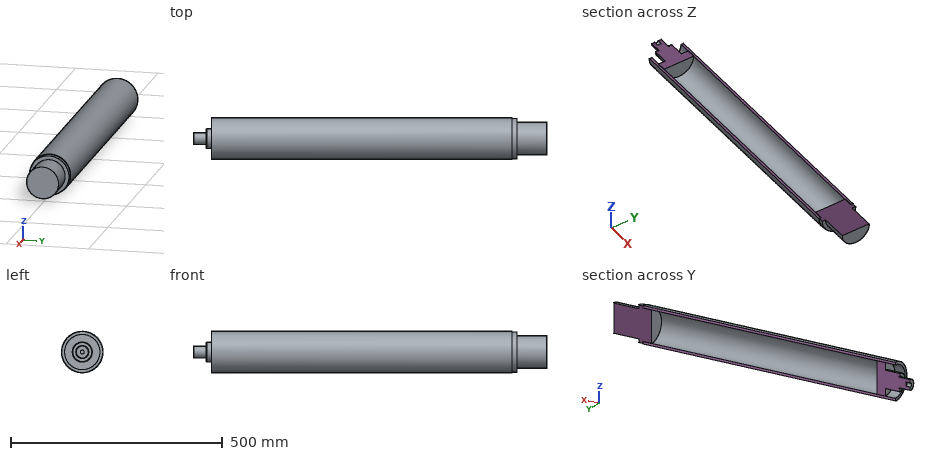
import cadquery as cq

LENGTH = 834.0
TIP_X = -LENGTH / 2
COLLAR_X = TIP_X + 29.0
TUBE_START_X = TIP_X + 42.0
STUB_END_X = LENGTH / 2
STUB_LENGTH = 70.0
FLANGE_THICKNESS = 12.5
FLANGE_END_X = STUB_END_X - STUB_LENGTH
TUBE_END_X = FLANGE_END_X - FLANGE_THICKNESS

TUBE_DIAMETER = 98.0
BORE_DIAMETER = 83.0

RECESS_DEPTH = 28.0
PLUG_LENGTH = 25.0
COLLAR_DIAMETER = 47.5
COLLAR_RIM_DIAMETER = 45.0
COLLAR_CHAMFER_LENGTH = 2.0
SHAFT_DIAMETER = 28.0
RELIEF_DIAMETER = 31.0
RELIEF_DEPTH = 2.5
CENTRE_HOLE_DIAMETER = 9.0
CENTRE_HOLE_DEPTH = 12.5

SPIGOT_LENGTH = 25.0
FLANGE_DIAMETER = 96.0
STUB_DIAMETER = 77.5


def cylinder(start_x, end_x, diameter):
    """Solid cylinder on the X axis between two stations."""
    return cq.Workplane("YZ", origin=(start_x, 0, 0)).circle(diameter / 2).extrude(end_x - start_x)


def make_tube():
    bore = cylinder(TUBE_START_X, TUBE_END_X, BORE_DIAMETER)
    return cylinder(TUBE_START_X, TUBE_END_X, TUBE_DIAMETER).cut(bore)


def make_journal():
    plug_start_x = TUBE_START_X + RECESS_DEPTH
    plug = cylinder(plug_start_x, plug_start_x + PLUG_LENGTH, BORE_DIAMETER)
    collar = cylinder(COLLAR_X, plug_start_x, COLLAR_DIAMETER)
    rim_inset = (COLLAR_DIAMETER - COLLAR_RIM_DIAMETER) / 2
    collar = collar.faces("<X").chamfer(COLLAR_CHAMFER_LENGTH, rim_inset)
    shaft_root_x = COLLAR_X + RELIEF_DEPTH
    collar = collar.cut(cylinder(COLLAR_X, shaft_root_x, RELIEF_DIAMETER))
    shaft = cylinder(TIP_X, shaft_root_x, SHAFT_DIAMETER)
    centre_hole = cylinder(TIP_X, TIP_X + CENTRE_HOLE_DEPTH, CENTRE_HOLE_DIAMETER)
    return plug.union(collar).union(shaft).cut(centre_hole)


def make_end_cap():
    spigot = cylinder(TUBE_END_X - SPIGOT_LENGTH, TUBE_END_X, BORE_DIAMETER)
    flange = cylinder(TUBE_END_X, FLANGE_END_X, FLANGE_DIAMETER)
    stub = cylinder(FLANGE_END_X, STUB_END_X, STUB_DIAMETER)
    return spigot.union(flange).union(stub)


tube = make_tube()
journal = make_journal()
end_cap = make_end_cap()

result = cq.Compound.makeCompound([tube.val(), journal.val(), end_cap.val()])